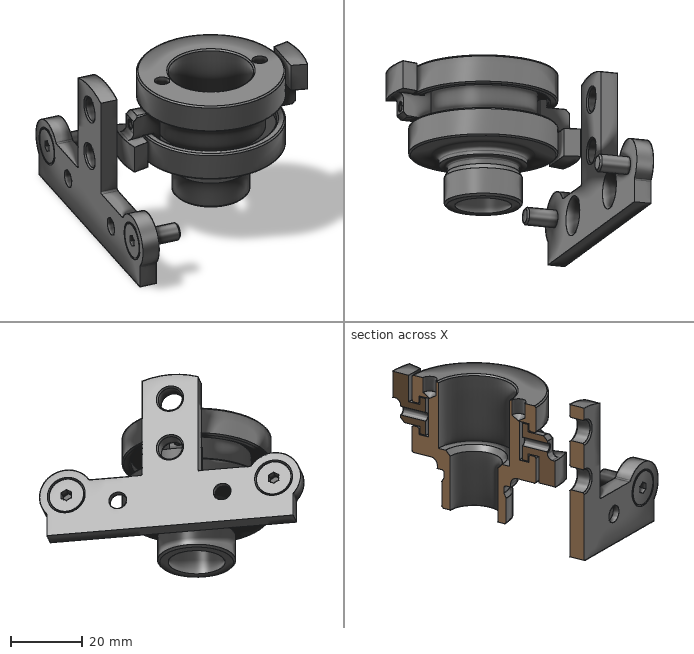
import cadquery as cq
import math

FLANGE_DIAMETER = 42.0
FLANGE_THICKNESS = 8.25
FLANGE_CHAMFER = 0.45
NECK_DIAMETER = 30.8
SLOT_HEIGHT = 7.1
LOWER_FLANGE_BOTTOM = 14.7
LOWER_FLANGE_TOP = LOWER_FLANGE_BOTTOM + FLANGE_THICKNESS
UPPER_FLANGE_BOTTOM = LOWER_FLANGE_TOP + SLOT_HEIGHT
SPOOL_TOP = UPPER_FLANGE_BOTTOM + FLANGE_THICKNESS
SLOT_MIDDLE = (LOWER_FLANGE_TOP + UPPER_FLANGE_BOTTOM) / 2

RING_GROOVE_DIAMETER = 37.0
RING_GROOVE_DEPTH = 2.25
RING_GROOVE_CHAMFER = 0.5

COLLAR_DIAMETER = 25.0
COLLAR_BOTTOM = 11.6
COLLAR_FILLET = 2.0
UNDERCUT_DIAMETER = 20.4
UNDERCUT_FILLET = 0.7
UNDERCUT_BOTTOM = 9.45
SPIGOT_DIAMETER = 22.0
SPIGOT_TOP = 8.0
SPIGOT_CHAMFER = 0.6

BORE_DIAMETER = 24.0
BORE_FLOOR = 18.0
BORE_CHAMFER = 0.45
PASSAGE_DIAMETER = 16.0
PASSAGE_CONE = 1.5

SPANNER_HOLE_DIAMETER = 4.3
SPANNER_HOLE_RADIUS = 15.0
SPANNER_HOLE_DEPTH = 4.5
DRILL_TIP_ANGLE = 118.0

ARM_HALF_ANGLE = 6.0
ARM_INNER = 16.35
ARM_OUTER = 24.9
ARM_CLEARANCE = 0.15
ARM_END_CHAMFER = 1.35
ARM_FLAT_WIDTH = 3.6
ARM_EDGE_SLOPE = 23.0
ARM_FILLET = 1.65
FOOT_HALF_ANGLE = 15.0
FOOT_INNER = 22.0
FOOT_OUTER_RADIUS = 27.5
FOOT_HEIGHT = 8.0
CLAMP_HOLE_DIAMETER = 2.5
CLAMP_HOLE_CHAMFER = 0.2

PLATE_FRONT = -37.35
PLATE_THICKNESS = 5.0
PLATE_BACK = PLATE_FRONT + PLATE_THICKNESS
PLATE_BOTTOM = -5.0
PLATE_WIDTH = 70.8
PLATE_HEIGHT = 46.5
SHOULDER_HEIGHT = 16.1
TAB_WIDTH = 16.0
TAB_CROWN_RADIUS = 25.0
TAB_FILLET = 0.5
EAR_RADIUS = 7.7
EAR_OFFSET = 37.5 - EAR_RADIUS
EAR_HEIGHT = 12.0
EAR_FILLET = 0.6

TAB_HOLE_DIAMETER = 6.9
TAB_HOLE_HEIGHTS = (24.1, 39.1)
TAB_HOLE_CHAMFER = 0.45
MOUNT_HOLE_DIAMETER = 5.0
MOUNT_HOLE_OFFSET = 15.0
MOUNT_HOLE_HEIGHT = 9.1
MOUNT_COUNTERSINK_DEPTH = 3.15

STUD_DIAMETER = 5.0
STUD_LENGTH = 9.0
STUD_CHAMFER = 0.5
HEAD_DIAMETER = 10.0
HEAD_GROOVE_DEPTH = 0.45
HEX_ACROSS_FLATS = 2.9
HEX_DEPTH = 3.0


def spool_outline():
    """Half section of the solid spool, without its bore, in radius and height."""
    flange = FLANGE_DIAMETER / 2
    neck = NECK_DIAMETER / 2
    groove = RING_GROOVE_DIAMETER / 2
    collar = COLLAR_DIAMETER / 2
    undercut = UNDERCUT_DIAMETER / 2
    spigot = SPIGOT_DIAMETER / 2
    diagonal = math.sqrt(0.5)
    return (
        cq.Workplane("XZ")
        .moveTo(0, 0)
        .lineTo(spigot - SPIGOT_CHAMFER, 0)
        .lineTo(spigot, SPIGOT_CHAMFER)
        .lineTo(spigot, SPIGOT_TOP)
        .lineTo(undercut, UNDERCUT_BOTTOM)
        .lineTo(undercut, COLLAR_BOTTOM - UNDERCUT_FILLET)
        .threePointArc(
            (undercut + UNDERCUT_FILLET * (1 - diagonal), COLLAR_BOTTOM - UNDERCUT_FILLET * (1 - diagonal)),
            (undercut + UNDERCUT_FILLET, COLLAR_BOTTOM),
        )
        .lineTo(collar, COLLAR_BOTTOM)
        .lineTo(collar, LOWER_FLANGE_BOTTOM - COLLAR_FILLET)
        .threePointArc(
            (collar + COLLAR_FILLET * (1 - diagonal), LOWER_FLANGE_BOTTOM - COLLAR_FILLET * (1 - diagonal)),
            (collar + COLLAR_FILLET, LOWER_FLANGE_BOTTOM),
        )
        .lineTo(flange - FLANGE_CHAMFER, LOWER_FLANGE_BOTTOM)
        .lineTo(flange, LOWER_FLANGE_BOTTOM + FLANGE_CHAMFER)
        .lineTo(flange, LOWER_FLANGE_TOP - FLANGE_CHAMFER)
        .lineTo(flange - FLANGE_CHAMFER, LOWER_FLANGE_TOP)
        .lineTo(groove + RING_GROOVE_CHAMFER, LOWER_FLANGE_TOP)
        .lineTo(groove, LOWER_FLANGE_TOP - RING_GROOVE_CHAMFER)
        .lineTo(groove, LOWER_FLANGE_TOP - RING_GROOVE_DEPTH)
        .lineTo(neck, LOWER_FLANGE_TOP - RING_GROOVE_DEPTH)
        .lineTo(neck, UPPER_FLANGE_BOTTOM + RING_GROOVE_DEPTH)
        .lineTo(groove, UPPER_FLANGE_BOTTOM + RING_GROOVE_DEPTH)
        .lineTo(groove, UPPER_FLANGE_BOTTOM + RING_GROOVE_CHAMFER)
        .lineTo(groove + RING_GROOVE_CHAMFER, UPPER_FLANGE_BOTTOM)
        .lineTo(flange - FLANGE_CHAMFER, UPPER_FLANGE_BOTTOM)
        .lineTo(flange, UPPER_FLANGE_BOTTOM + FLANGE_CHAMFER)
        .lineTo(flange, SPOOL_TOP - FLANGE_CHAMFER)
        .lineTo(flange - FLANGE_CHAMFER, SPOOL_TOP)
        .lineTo(0, SPOOL_TOP)
        .close()
    )


def spool_bore():
    """Stepped bore: chamfered mouth, wide bore, cone and through passage."""
    bore = BORE_DIAMETER / 2
    passage = PASSAGE_DIAMETER / 2
    return (
        cq.Workplane("XZ")
        .moveTo(0, 0)
        .lineTo(passage, 0)
        .lineTo(passage, BORE_FLOOR - PASSAGE_CONE)
        .lineTo(passage + PASSAGE_CONE, BORE_FLOOR)
        .lineTo(bore, BORE_FLOOR)
        .lineTo(bore, SPOOL_TOP - BORE_CHAMFER)
        .lineTo(bore + BORE_CHAMFER, SPOOL_TOP)
        .lineTo(0, SPOOL_TOP)
        .close()
        .revolve(360, (0, 0), (0, 1))
    )


def spanner_hole(y):
    """Blind drilled hole with a conical end, sunk from the top of the spool."""
    radius = SPANNER_HOLE_DIAMETER / 2
    tip = radius / math.tan(math.radians(DRILL_TIP_ANGLE / 2))
    return (
        cq.Workplane("XZ", origin=(0, y, SPOOL_TOP))
        .moveTo(0, 0)
        .lineTo(radius, 0)
        .lineTo(radius, -SPANNER_HOLE_DEPTH)
        .lineTo(0, -SPANNER_HOLE_DEPTH - tip)
        .close()
        .revolve(360, (0, 0), (0, 1))
    )


def make_spool():
    spool = spool_outline().revolve(360, (0, 0), (0, 1)).cut(spool_bore())
    for y in (-SPANNER_HOLE_RADIUS, SPANNER_HOLE_RADIUS):
        spool = spool.cut(spanner_hole(y))
    return spool


def wedge(half_angle, length, bottom, top):
    """Triangular prism that widens radially from the spool axis toward -Y."""
    half_width = length * math.tan(math.radians(half_angle))
    return (
        cq.Workplane("XY", origin=(0, 0, bottom))
        .polyline([(0, 0), (-half_width, -length), (half_width, -length)])
        .close()
        .extrude(top - bottom)
    )


def stop_arm():
    """Arm in the slot: two tongues for the ring grooves, bevelled end, fillet down to the foot."""
    bottom = LOWER_FLANGE_TOP + ARM_CLEARANCE
    top = UPPER_FLANGE_BOTTOM - ARM_CLEARANCE
    tongue_outer = RING_GROOVE_DIAMETER / 2 - ARM_CLEARANCE
    tongue_bottom = LOWER_FLANGE_TOP - RING_GROOVE_DEPTH + ARM_CLEARANCE
    tongue_top = UPPER_FLANGE_BOTTOM + RING_GROOVE_DEPTH - ARM_CLEARANCE
    diagonal = math.sqrt(0.5)
    side = (
        cq.Workplane("YZ")
        .moveTo(-ARM_INNER, tongue_bottom)
        .lineTo(-ARM_INNER, tongue_top)
        .lineTo(-tongue_outer, tongue_top)
        .lineTo(-tongue_outer, top)
        .lineTo(-ARM_OUTER + ARM_END_CHAMFER, top)
        .lineTo(-ARM_OUTER, top - ARM_END_CHAMFER)
        .lineTo(-ARM_OUTER, bottom + ARM_FILLET)
        .threePointArc(
            (-ARM_OUTER - ARM_FILLET * (1 - diagonal), bottom + ARM_FILLET * (1 - diagonal)),
            (-ARM_OUTER - ARM_FILLET, bottom),
        )
        .lineTo(-tongue_outer, bottom)
        .lineTo(-tongue_outer, tongue_bottom)
        .close()
        .extrude(FOOT_OUTER_RADIUS, both=True)
    )
    return side.intersect(wedge(ARM_HALF_ANGLE, FOOT_OUTER_RADIUS, tongue_bottom, tongue_top))


def stop_foot():
    """Block outside the lower flange with radial sides and an outer face about the spool axis."""
    top = LOWER_FLANGE_TOP + ARM_CLEARANCE
    bottom = top - FOOT_HEIGHT
    rim = cq.Workplane("XY", origin=(0, 0, bottom)).circle(FOOT_OUTER_RADIUS).extrude(FOOT_HEIGHT)
    inner = cq.Workplane("XY").box(
        2 * FOOT_OUTER_RADIUS, FOOT_OUTER_RADIUS, SPOOL_TOP, centered=(True, False, False)
    ).translate((0, -FOOT_INNER, 0))
    return wedge(FOOT_HALF_ANGLE, 2 * FOOT_OUTER_RADIUS, bottom, top).intersect(rim).cut(inner)


def arm_edge_slopes(face, upward, outer):
    """Material above the two sloping edges of an arm face, from the ring groove to the outer radius."""
    reach = FOOT_OUTER_RADIUS * math.tan(math.radians(ARM_HALF_ANGLE))
    fall = reach * math.tan(math.radians(ARM_EDGE_SLOPE))
    start = RING_GROOVE_DIAMETER / 2
    slopes = cq.Workplane("XZ", origin=(0, -start, face))
    for side in (-1, 1):
        flat_edge = side * ARM_FLAT_WIDTH / 2
        corners = [(flat_edge, 0), (flat_edge + side * reach, 0), (flat_edge + side * reach, -upward * fall)]
        slopes = slopes.polyline(corners).close()
    return slopes.extrude(outer - start)


def clamp_hole():
    """Radial hole through the arm, countersunk in its outer end."""
    radius = CLAMP_HOLE_DIAMETER / 2
    mouth = radius + CLAMP_HOLE_CHAMFER
    return (
        cq.Workplane("XY", origin=(0, 0, SLOT_MIDDLE))
        .lineTo(radius, 0)
        .lineTo(radius, CLAMP_HOLE_CHAMFER - ARM_OUTER)
        .lineTo(mouth, -ARM_OUTER)
        .lineTo(0, -ARM_OUTER)
        .close()
        .revolve(360, (0, 0), (0, 1))
    )


def make_stop():
    """Stop on the -Y side, with its foot pointing down."""
    upper_face = UPPER_FLANGE_BOTTOM - ARM_CLEARANCE
    lower_face = LOWER_FLANGE_TOP + ARM_CLEARANCE
    arm = stop_arm().cut(clamp_hole())
    arm = arm.cut(arm_edge_slopes(upper_face, 1, ARM_OUTER))
    arm = arm.cut(arm_edge_slopes(lower_face, -1, FOOT_INNER))
    return arm.union(stop_foot())


def front_cylinder(diameter, depth, x, height):
    """Cylinder from the plate's front face backwards; height is measured from the plate's bottom."""
    return (
        cq.Workplane("XZ", origin=(x, PLATE_FRONT, PLATE_BOTTOM + height))
        .circle(diameter / 2)
        .extrude(-depth)
    )


def countersink(diameter, chamfer, x, height, face_y, inward):
    """45 degree cone that narrows from the face at face_y to the diameter; inward is 1 or -1 along Y."""
    mouth = diameter / 2 + chamfer
    return cq.Workplane(
        cq.Solid.makeCone(
            mouth, diameter / 2, chamfer, cq.Vector(x, face_y, PLATE_BOTTOM + height), cq.Vector(0, inward, 0)
        )
    )


def plate_blank():
    """Base bar, crowned tab and two round ears, with the inner corners rounded."""
    half_tab = TAB_WIDTH / 2
    crown_drop = TAB_CROWN_RADIUS - math.sqrt(TAB_CROWN_RADIUS**2 - half_tab**2)
    front = cq.Workplane("XZ", origin=(0, PLATE_FRONT, PLATE_BOTTOM))
    bar_and_tab = (
        front.moveTo(-PLATE_WIDTH / 2, 0)
        .lineTo(PLATE_WIDTH / 2, 0)
        .lineTo(PLATE_WIDTH / 2, EAR_HEIGHT)
        .lineTo(EAR_OFFSET, EAR_HEIGHT)
        .lineTo(EAR_OFFSET, SHOULDER_HEIGHT)
        .lineTo(half_tab, SHOULDER_HEIGHT)
        .lineTo(half_tab, PLATE_HEIGHT - crown_drop)
        .threePointArc((0, PLATE_HEIGHT), (-half_tab, PLATE_HEIGHT - crown_drop))
        .lineTo(-half_tab, SHOULDER_HEIGHT)
        .lineTo(-EAR_OFFSET, SHOULDER_HEIGHT)
        .lineTo(-EAR_OFFSET, EAR_HEIGHT)
        .lineTo(-PLATE_WIDTH / 2, EAR_HEIGHT)
        .close()
        .extrude(-PLATE_THICKNESS)
    )
    ears = front.pushPoints([(-EAR_OFFSET, EAR_HEIGHT), (EAR_OFFSET, EAR_HEIGHT)])
    blank = bar_and_tab.union(ears.circle(EAR_RADIUS).extrude(-PLATE_THICKNESS))

    ear_top_corner = EAR_OFFSET - math.sqrt(EAR_RADIUS**2 - (SHOULDER_HEIGHT - EAR_HEIGHT) ** 2)
    ear_side_drop = math.sqrt(EAR_RADIUS**2 - (PLATE_WIDTH / 2 - EAR_OFFSET) ** 2)
    inner_corners = (
        (half_tab, SHOULDER_HEIGHT, TAB_FILLET),
        (ear_top_corner, SHOULDER_HEIGHT, EAR_FILLET),
        (PLATE_WIDTH / 2, EAR_HEIGHT - ear_side_drop, EAR_FILLET),
    )
    for offset, height, radius in inner_corners:
        for x in (-offset, offset):
            middle = (x, PLATE_FRONT + PLATE_THICKNESS / 2, PLATE_BOTTOM + height)
            blank = blank.edges(cq.selectors.NearestToPointSelector(middle)).fillet(radius)
    return blank


def stud(x):
    """Round stud with a chamfered tip behind the plate."""
    return (
        cq.Workplane("XZ", origin=(x, PLATE_BACK, PLATE_BOTTOM + EAR_HEIGHT))
        .circle(STUD_DIAMETER / 2)
        .extrude(-STUD_LENGTH)
        .faces(">Y")
        .chamfer(STUD_CHAMFER)
    )


def hex_socket(x):
    """Hexagonal recess in the stud head, with two sides upright."""
    across_corners = HEX_ACROSS_FLATS / math.cos(math.radians(30))
    return (
        cq.Workplane("XZ", origin=(x, PLATE_FRONT, PLATE_BOTTOM + EAR_HEIGHT))
        .transformed(rotate=(0, 0, 30))
        .polygon(6, across_corners)
        .extrude(-HEX_DEPTH)
    )


def mount_hole(x):
    """Through hole, countersunk from the plate's back face."""
    hole = front_cylinder(MOUNT_HOLE_DIAMETER, PLATE_THICKNESS, x, MOUNT_HOLE_HEIGHT)
    return hole.union(
        countersink(MOUNT_HOLE_DIAMETER, MOUNT_COUNTERSINK_DEPTH, x, MOUNT_HOLE_HEIGHT, PLATE_BACK, -1)
    )


def head_groove(x):
    """V groove around the flush stud head: upright inner wall, sloping outer wall."""
    cone = countersink(HEAD_DIAMETER, HEAD_GROOVE_DEPTH, x, EAR_HEIGHT, PLATE_FRONT, 1)
    return cone.cut(front_cylinder(HEAD_DIAMETER, HEAD_DIAMETER, x, EAR_HEIGHT))


def make_plate():
    plate = plate_blank()
    for height in TAB_HOLE_HEIGHTS:
        plate = plate.cut(front_cylinder(TAB_HOLE_DIAMETER, PLATE_THICKNESS, 0, height))
        for face_y, inward in ((PLATE_FRONT, 1), (PLATE_BACK, -1)):
            plate = plate.cut(countersink(TAB_HOLE_DIAMETER, TAB_HOLE_CHAMFER, 0, height, face_y, inward))
    for side in (-1, 1):
        plate = plate.cut(mount_hole(side * MOUNT_HOLE_OFFSET))
        plate = plate.cut(head_groove(side * EAR_OFFSET))
        plate = plate.union(stud(side * EAR_OFFSET)).cut(hex_socket(side * EAR_OFFSET))
    return plate


spool = make_spool()
stops = [
    make_stop().rotate((0, 0, SLOT_MIDDLE), (1, 0, SLOT_MIDDLE), angle)
    for angle in (0, 180)
]
plate = make_plate()

result = cq.Compound.makeCompound([spool.val(), *[stop.val() for stop in stops], plate.val()])